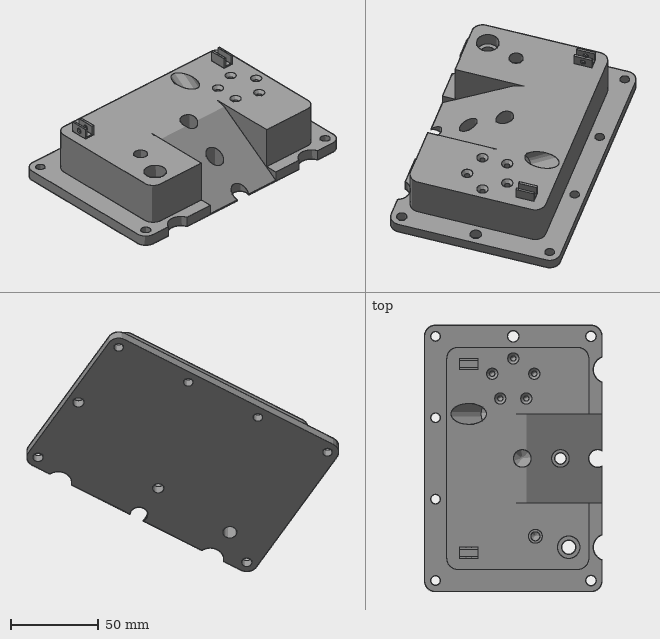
import cadquery as cq
import math

PLATE_LENGTH = 152.4
PLATE_WIDTH = 101.7
PLATE_THICKNESS = 6.4
CORNER_RADIUS = 6.4

BLOCK_LENGTH = 127.0
BLOCK_WIDTH = 81.2
BLOCK_CENTRE_X = 2.6
BLOCK_TOP = 31.7

HOLE_INSET = 6.4
LEFT_HOLE_DIAMETER = 5.3
LEFT_HOLE_COUNT = 4
RIGHT_HOLE_DIAMETER = 5.8
TOP_HOLE_DIAMETER = 6.4
OUTER_NOTCH_RADIUS = 7.6
OUTER_NOTCH_OVERHANG = 2.6
MIDDLE_NOTCH_RADIUS = 5.0
MIDDLE_NOTCH_INSET = 2.6

RAMP_WIDTH = 50.9
LIP_START_X = 1.8
LIP_END_X = 7.6
LIP_DROP = 1.7
RAMP_END_Z = 0.8

DRILL_POINT_ANGLE = 118.0
RING_POINT_ANGLE = 100.0
RING_CENTRE_Y = 44.5
RING_RADIUS = 12.6
RING_COUNT = 5
RING_HOLE_RADIUS = 1.5
RING_HOLE_DEPTH = 12.6
SINK_RADIUS = 3.2
SINK_ANGLE = 82.0
LIP_HOLE_X = 5.2
LIP_HOLE_RADIUS = 5.0
LIP_HOLE_DEPTH = 19.0
STEPPED_X = 12.6
STEPPED_Y = -44.5
STEPPED_BORE_RADIUS = 4.0
STEPPED_HOLE_RADIUS = 2.6
STEPPED_HOLE_DEPTH = 19.0
CORNER_BORE_X = 31.7
CORNER_BORE_Y = -50.7
CORNER_BORE_RADIUS = 6.4
CORNER_HOLE_RADIUS = 4.0
BORE_DEPTH = 8.0
RAMP_HOLE_X = 27.0
RAMP_BORE_RADIUS = 5.0
RAMP_BORE_FLOOR = 6.4
RAMP_HOLE_RADIUS = 3.2

SLANT_X = -25.5
SLANT_Y = 25.5
SLANT_RADIUS = 6.0
SLANT_ELEVATION = 36.0
SLANT_DEPTH = 13.1

CLIP_X = -25.5
CLIP_LENGTH = 10.8
CLIP_WIDTH = 6.4
CLIP_HEIGHT = 6.4
CLIP_OUTER_Y = 57.2
CLIP_OUTER_WALL = 1.2
CLIP_SLOT_WIDTH = 3.8
CLIP_FLOOR = 0.9
CLIP_HOLE_RADIUS = 1.5
CLIP_HOLE_HEIGHT = 2.9

DOWN = cq.Vector(0, 0, -1)
OVERCUT = 15.2


def cylinder(x, y, z, radius, depth, direction=DOWN):
    """Cylinder starting at (x, y, z) and running along the direction."""
    return cq.Workplane(cq.Solid.makeCylinder(radius, depth, cq.Vector(x, y, z), direction))


def through_hole(x, y, radius):
    top = BLOCK_TOP + OVERCUT
    return cylinder(x, y, top, radius, top + OVERCUT)


def drilled_hole(x, y, z, radius, depth, direction=DOWN, lead=0.0, point_angle=DRILL_POINT_ANGLE):
    """Blind hole with a conical drill point; it starts a lead length before (x, y, z)."""
    start = cq.Vector(x, y, z) - direction * lead
    point_base = cq.Vector(x, y, z) + direction * depth
    point_length = radius / math.tan(math.radians(point_angle / 2))
    shank = cq.Solid.makeCylinder(radius, depth + lead, start, direction)
    point = cq.Solid.makeCone(radius, 0, point_length, point_base, direction)
    return cq.Workplane(shank.fuse(point))


def rounded_slab(width, length, height, centre_x):
    slab = cq.Workplane("XY").center(centre_x, 0).rect(width, length).extrude(height)
    return slab.edges("|Z").fillet(CORNER_RADIUS)


def body():
    plate = rounded_slab(PLATE_WIDTH, PLATE_LENGTH, PLATE_THICKNESS, 0)
    return plate.union(rounded_slab(BLOCK_WIDTH, BLOCK_LENGTH, BLOCK_TOP, BLOCK_CENTRE_X))


def cut_flange(part):
    edge_x = PLATE_WIDTH / 2
    hole_x = edge_x - HOLE_INSET
    hole_y = PLATE_LENGTH / 2 - HOLE_INSET
    pitch = 2 * hole_y / (LEFT_HOLE_COUNT - 1)
    for index in range(LEFT_HOLE_COUNT):
        part = part.cut(through_hole(-hole_x, index * pitch - hole_y, LEFT_HOLE_DIAMETER / 2))
    part = part.cut(through_hole(0, hole_y, TOP_HOLE_DIAMETER / 2))
    part = part.cut(through_hole(edge_x - MIDDLE_NOTCH_INSET, 0, MIDDLE_NOTCH_RADIUS))
    for side in (-1, 1):
        part = part.cut(through_hole(hole_x, side * hole_y, RIGHT_HOLE_DIAMETER / 2))
        notch_y = side * PLATE_LENGTH / 3
        part = part.cut(through_hole(edge_x + OUTER_NOTCH_OVERHANG, notch_y, OUTER_NOTCH_RADIUS))
    return part


def cut_ramp(part):
    lip_end_z = BLOCK_TOP - LIP_DROP
    end_x = PLATE_WIDTH / 2
    profile = [
        (LIP_START_X, BLOCK_TOP),
        (LIP_END_X, lip_end_z),
        (end_x, RAMP_END_Z),
        (end_x, BLOCK_TOP),
    ]
    ramp = cq.Workplane("XZ").polyline(profile).close().extrude(RAMP_WIDTH / 2, both=True)
    return part.cut(ramp)


def cut_ring_of_holes(part):
    sink_depth = (SINK_RADIUS - RING_HOLE_RADIUS) / math.tan(math.radians(SINK_ANGLE / 2))
    for index in range(RING_COUNT):
        angle = math.radians(90 + index * 360 / RING_COUNT)
        x = RING_RADIUS * math.cos(angle)
        y = RING_CENTRE_Y + RING_RADIUS * math.sin(angle)
        sink = cq.Solid.makeCone(
            SINK_RADIUS, RING_HOLE_RADIUS, sink_depth, cq.Vector(x, y, BLOCK_TOP), DOWN
        )
        hole = drilled_hole(
            x, y, BLOCK_TOP, RING_HOLE_RADIUS, RING_HOLE_DEPTH, point_angle=RING_POINT_ANGLE
        )
        part = part.cut(hole)
        part = part.cut(cq.Workplane(sink))
    return part


def cut_bores(part):
    part = part.cut(drilled_hole(LIP_HOLE_X, 0, BLOCK_TOP, LIP_HOLE_RADIUS, LIP_HOLE_DEPTH))

    part = part.cut(cylinder(STEPPED_X, STEPPED_Y, BLOCK_TOP, STEPPED_BORE_RADIUS, BORE_DEPTH))
    part = part.cut(
        drilled_hole(STEPPED_X, STEPPED_Y, BLOCK_TOP, STEPPED_HOLE_RADIUS, STEPPED_HOLE_DEPTH)
    )

    part = part.cut(
        cylinder(CORNER_BORE_X, CORNER_BORE_Y, BLOCK_TOP, CORNER_BORE_RADIUS, BORE_DEPTH)
    )
    part = part.cut(through_hole(CORNER_BORE_X, CORNER_BORE_Y, CORNER_HOLE_RADIUS))

    ramp_bore_depth = BLOCK_TOP - RAMP_BORE_FLOOR
    part = part.cut(cylinder(RAMP_HOLE_X, 0, BLOCK_TOP, RAMP_BORE_RADIUS, ramp_bore_depth))
    return part.cut(through_hole(RAMP_HOLE_X, 0, RAMP_HOLE_RADIUS))


def cut_slanted_hole(part):
    elevation = math.radians(SLANT_ELEVATION)
    direction = cq.Vector(math.cos(elevation), 0, -math.sin(elevation))
    hole = drilled_hole(
        SLANT_X, SLANT_Y, BLOCK_TOP, SLANT_RADIUS, SLANT_DEPTH, direction, lead=OVERCUT
    )
    return part.cut(hole)


def clip(side):
    """U-shaped clip with its slot along X; side is the sign of its Y position."""
    centre_y = side * (CLIP_OUTER_Y - CLIP_WIDTH / 2)
    slot_y = side * (CLIP_OUTER_Y - CLIP_OUTER_WALL - CLIP_SLOT_WIDTH / 2)
    base = cq.Workplane("XY", origin=(CLIP_X, 0, BLOCK_TOP))
    outer = base.center(0, centre_y).rect(CLIP_LENGTH, CLIP_WIDTH).extrude(CLIP_HEIGHT)
    slot = base.workplane(offset=CLIP_FLOOR).center(0, slot_y)
    slot = slot.rect(CLIP_LENGTH, CLIP_SLOT_WIDTH).extrude(CLIP_HEIGHT)
    return outer.cut(slot)


def pierced_clip():
    """The -Y clip, with a cross hole through both of its walls."""
    pin_hole = cylinder(
        CLIP_X, -CLIP_OUTER_Y, BLOCK_TOP + CLIP_HOLE_HEIGHT,
        CLIP_HOLE_RADIUS, CLIP_WIDTH, cq.Vector(0, 1, 0),
    )
    return clip(-1).cut(pin_hole)


result = cut_flange(body())
result = cut_ramp(result)
result = cut_ring_of_holes(result)
result = cut_bores(result)
result = cut_slanted_hole(result)
result = result.union(clip(1)).union(pierced_clip())